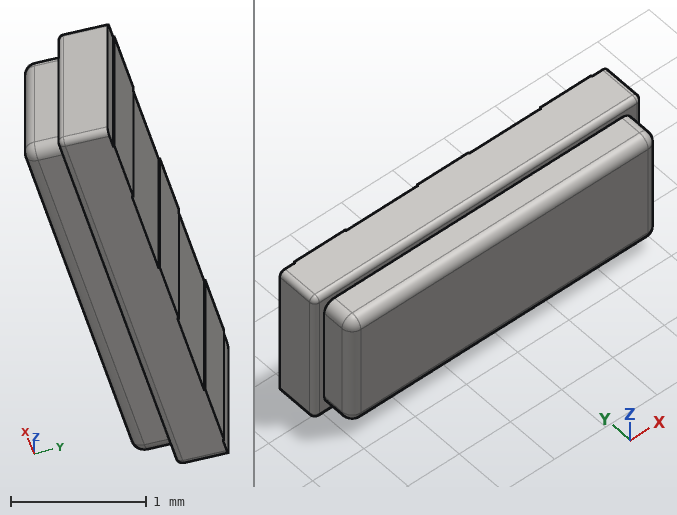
import cadquery as cq

base_length = 3.2
base_height = 1.3
base_depth = 0.39
base_radius = 0.05

cap_inset = 0.1
cap_depth = 0.3
cap_radius = 0.1
cap_length = base_length - 2 * cap_inset
cap_height = base_height - 2 * cap_inset

pad_width = 0.5
pad_thickness = 0.01
pad_pitch = 1.2
pad_height = base_height


def rounded_block(length, depth, height, radius):
    """Block from Y = 0 to Y = -depth, rounded on every edge except the rear rim."""
    block = cq.Workplane("XY").box(length, depth, height).translate((0, -depth / 2, 0))
    return block.edges("|Y or <Y").fillet(radius)


def contact_pad(x_center):
    """Strip standing on the rear face of the base."""
    pad = cq.Workplane("XY").box(pad_width, pad_thickness, pad_height)
    return pad.translate((x_center, pad_thickness / 2, 0))


base = rounded_block(base_length, base_depth, base_height, base_radius)
cap = rounded_block(cap_length, cap_depth, cap_height, cap_radius).translate((0, -base_depth, 0))

result = base.union(cap)
for x_center in (-pad_pitch, 0, pad_pitch):
    result = result.union(contact_pad(x_center))